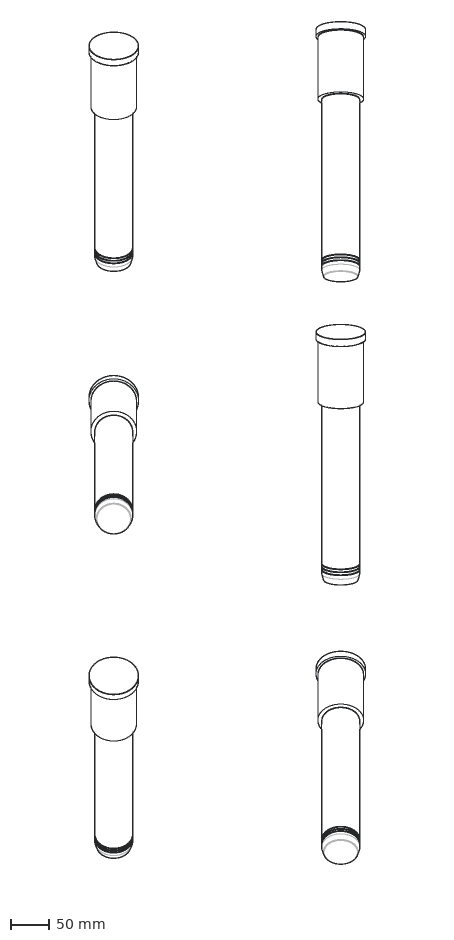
import cadquery as cq
import math

total_length = 340.0

head_diameter = 65.0
head_height = 10.0
head_chamfer = 0.5

sleeve_diameter = 60.0
sleeve_length = 86.0

shank_diameter = 50.0

taper_height = 9.0
taper_angle = 15.0
tip_fillet = 1.0

groove_count = 3
groove_pitch = 4.0
first_groove_z = 14.0

groove_width = 1.0
groove_depth = 0.5

head_bottom_z = total_length - head_height
sleeve_bottom_z = head_bottom_z - sleeve_length


def cylinder(diameter, bottom_z, top_z):
    """Solid cylinder on the Z axis between two heights."""
    return cq.Workplane("XY").workplane(offset=bottom_z).circle(diameter / 2).extrude(top_z - bottom_z)


def make_head():
    """Flange with its top rim chamfered."""
    head = cylinder(head_diameter, head_bottom_z, total_length)
    return head.faces(">Z").edges().chamfer(head_chamfer)


def make_shank():
    """Plain shank standing on a tapered lead-in with a rounded tip."""
    radius = shank_diameter / 2
    tip_radius = radius - taper_height * math.tan(math.radians(taper_angle))
    profile = (
        cq.Workplane("XZ")
        .moveTo(0, 0)
        .lineTo(tip_radius, 0)
        .lineTo(radius, taper_height)
        .lineTo(radius, sleeve_bottom_z)
        .lineTo(0, sleeve_bottom_z)
        .close()
    )
    shank = profile.revolve(360, (0, 0, 0), (0, 1, 0))
    return shank.faces("<Z").edges().fillet(tip_fillet)


def cut_groove(body, diameter, bottom_z):
    """Cut one ring groove into a cylindrical body of the given diameter."""
    top_z = bottom_z + groove_width
    core = cylinder(diameter - 2 * groove_depth, bottom_z, top_z)
    ring = cylinder(diameter, bottom_z, top_z).cut(core)
    return body.cut(ring)


shank = make_shank()
for index in range(groove_count):
    shank = cut_groove(shank, shank_diameter, first_groove_z + index * groove_pitch)
shank = cut_groove(shank, shank_diameter, sleeve_bottom_z - groove_width)

sleeve = cylinder(sleeve_diameter, sleeve_bottom_z, head_bottom_z)
sleeve = cut_groove(sleeve, sleeve_diameter, head_bottom_z - groove_width)

result = shank.union(sleeve).union(make_head())